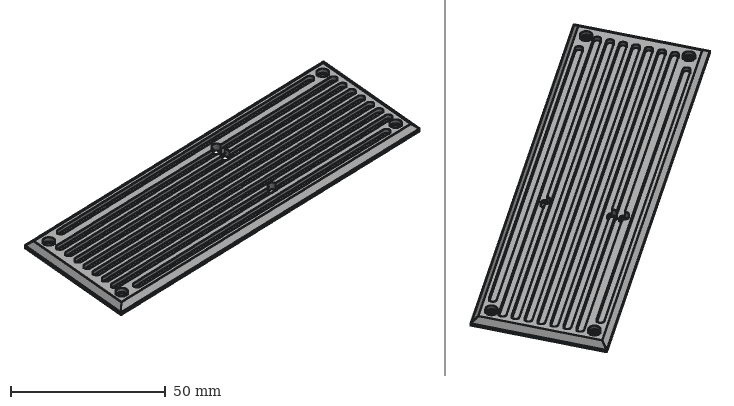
import cadquery as cq

plate_width = 45.46
plate_length = 132.63
plate_thickness = 3.0
bevel = 2.0

groove_width = 2.6
groove_depth = 1.8
inner_groove_count = 7
inner_groove_pitch = 4.325
inner_groove_center_x = 0.35
inner_groove_length = 124.05
inner_groove_center_y = 0.55
outer_groove_x = 18.0
outer_groove_length = 113.3
outer_groove_center_y = 0.6

screw_hole_x = 17.2
screw_hole_y = 60.83
screw_hole_diameter = 2.7
screw_head_diameter = 4.1
screw_head_depth = 1.75

row_hole_diameter = 3.2
row_hole_y = 10.7
row_hole_xs = (-14.1, -10.1, 12.25)


def beveled_plate():
    """Plate centred in X and Y, standing on Z = 0, with its top edges bevelled."""
    plate = cq.Workplane("XY").box(
        plate_width, plate_length, plate_thickness, centered=(True, True, False)
    )
    return plate.faces(">Z").edges().chamfer(bevel)


def top_plane():
    return cq.Workplane("XY").workplane(offset=plate_thickness)


def grooves(centers, length):
    """Round-ended cutters that reach groove_depth below the top face."""
    return top_plane().pushPoints(centers).slot2D(length, groove_width, 90).extrude(-groove_depth)


def inner_grooves():
    first_x = inner_groove_center_x - inner_groove_pitch * (inner_groove_count - 1) / 2
    centers = []
    for index in range(inner_groove_count):
        centers.append((first_x + index * inner_groove_pitch, inner_groove_center_y))
    return grooves(centers, inner_groove_length)


def outer_grooves():
    centers = [(side * outer_groove_x, outer_groove_center_y) for side in (-1, 1)]
    return grooves(centers, outer_groove_length)


def drill_screw_holes(plate):
    corners = [(sx * screw_hole_x, sy * screw_hole_y) for sx in (-1, 1) for sy in (-1, 1)]
    on_top = plate.faces(">Z").workplane(origin=(0, 0, plate_thickness))
    return on_top.pushPoints(corners).cboreHole(screw_hole_diameter, screw_head_diameter, screw_head_depth)


def row_holes():
    centers = [(x, row_hole_y) for x in row_hole_xs]
    return top_plane().pushPoints(centers).circle(row_hole_diameter / 2).extrude(-plate_thickness)


plate = drill_screw_holes(beveled_plate())
result = plate.cut(inner_grooves()).cut(outer_grooves()).cut(row_holes())